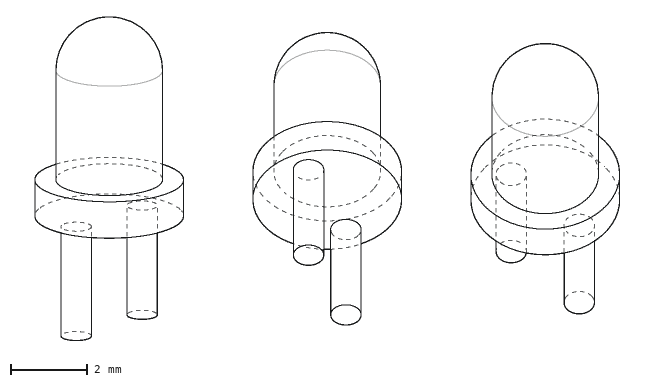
import cadquery as cq

flange_diameter = 3.9
flange_height = 1.0
body_diameter = 2.8
body_height = 3.0
lead_diameter = 0.8
lead_length = 3.0
lead_pitch = 2.54

body_radius = body_diameter / 2
dome_base_z = flange_height + body_height


def make_flange():
    return cq.Workplane("XY").circle(flange_diameter / 2).extrude(flange_height)


def make_body():
    """Cylindrical lens body standing on the flange."""
    return cq.Workplane("XY").workplane(offset=flange_height).circle(body_radius).extrude(body_height)


def make_dome():
    """Hemisphere that closes the top of the body."""
    upper_half = cq.Solid.makeSphere(body_radius, angleDegrees1=0, angleDegrees2=90)
    return cq.Workplane("XY").add(upper_half.translate(cq.Vector(0, 0, dome_base_z)))


def make_leads():
    """Two round leads side by side along Y, hanging below the flange."""
    return (
        cq.Workplane("XY")
        .pushPoints([(0, -lead_pitch / 2), (0, lead_pitch / 2)])
        .circle(lead_diameter / 2)
        .extrude(-lead_length)
    )


result = make_flange().union(make_body()).union(make_dome()).union(make_leads())